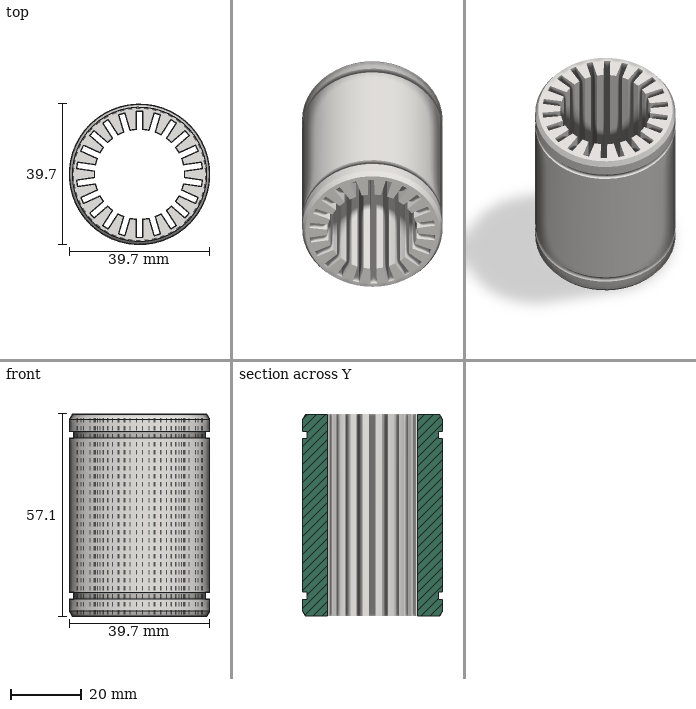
import cadquery as cq
import math

INCH = 25.4
OUTER_DIAMETER = 1.5625 * INCH
LENGTH = 2.25 * INCH
BORE_DIAMETER = 1.0 * INCH

CHAMFER_HEIGHT = 1.5
CHAMFER_ANGLE = 30.0
CHAMFER_DEPTH = CHAMFER_HEIGHT * math.tan(math.radians(CHAMFER_ANGLE))

GROOVE_DIAMETER = 37.35
GROOVE_WIDTH = 1.88
GROOVE_END_DISTANCE = 4.9

SLOT_COUNT = 22
SLOT_WIDTH = 0.07 * INCH
SLOT_FLOOR_RADIUS = 0.7 * INCH
SLOT_START_ANGLE = 90.0


def make_body():
    """Plain cylinder with both outer edges chamfered."""
    body = cq.Workplane("XY").cylinder(LENGTH, OUTER_DIAMETER / 2)
    return body.cut(make_end_bevel(1)).cut(make_end_bevel(-1))


def make_end_bevel(side):
    """Triangular ring removed from the outer edge of one end (side is +1 or -1)."""
    radius = OUTER_DIAMETER / 2
    end_z = side * LENGTH / 2
    return (
        cq.Workplane("XZ")
        .moveTo(radius - CHAMFER_DEPTH, end_z)
        .lineTo(radius, end_z)
        .lineTo(radius, end_z - side * CHAMFER_HEIGHT)
        .close()
        .revolve(360, (0, 0, 0), (0, 1, 0))
    )


def make_groove(side):
    """Ring removed to form the groove near one end (side is +1 or -1)."""
    centre_z = side * (LENGTH / 2 - GROOVE_END_DISTANCE - GROOVE_WIDTH / 2)
    return (
        cq.Workplane("XY", origin=(0, 0, centre_z))
        .circle(OUTER_DIAMETER / 2)
        .circle(GROOVE_DIAMETER / 2)
        .extrude(GROOVE_WIDTH / 2, both=True)
    )


def make_slot(angle):
    """Full-length bar from the axis to the slot floor, pointing along the given angle."""
    return (
        cq.Workplane("XY")
        .box(SLOT_FLOOR_RADIUS, SLOT_WIDTH, LENGTH, centered=(False, True, True))
        .rotate((0, 0, 0), (0, 0, 1), angle)
    )


def make_slotted_bore():
    """Round bore joined with the ring of evenly spaced slots."""
    bore = cq.Workplane("XY").cylinder(LENGTH, BORE_DIAMETER / 2)
    pitch_angle = 360.0 / SLOT_COUNT
    for index in range(SLOT_COUNT):
        bore = bore.union(make_slot(SLOT_START_ANGLE + index * pitch_angle))
    return bore


bushing = make_body()
for end in (1, -1):
    bushing = bushing.cut(make_groove(end))
result = bushing.cut(make_slotted_bore())